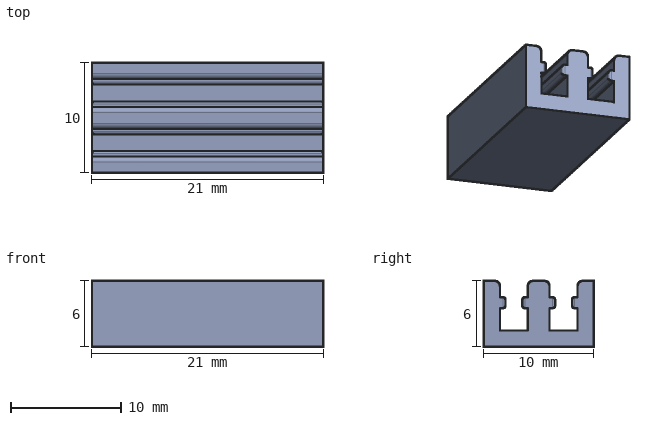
import cadquery as cq

length = 21.0
width = 10.0
height = 6.0

side_wall = 1.5
middle_wall = 2.0
channel_width = (width - 2 * side_wall - middle_wall) / 2
floor_thickness = 1.5
wall_top_radius = 0.5

ridge_height = 1.0
ridge_drop = 1.5
ridge_reach = 0.5
ridge_radius = 0.25
ridge_root = 0.2

channel_offset = (middle_wall + channel_width) / 2


def x_bar(y_min, y_max, z_min, z_max):
    """Box spanning the full length between the given limits."""
    return cq.Workplane("XY").box(
        length, y_max - y_min, z_max - z_min, centered=(True, False, False)
    ).translate((0, y_min, z_min))


def ridge(wall_y, direction):
    """Ridge growing from a wall face, rounded around all edges of its tip face."""
    root_y = wall_y - direction * ridge_root
    tip_y = wall_y + direction * ridge_reach
    top_z = height - ridge_drop
    bar = x_bar(min(root_y, tip_y), max(root_y, tip_y), top_z - ridge_height, top_z)
    tip_face = ">Y" if direction > 0 else "<Y"
    return bar.faces(tip_face).edges().fillet(ridge_radius)


body = x_bar(-width / 2, width / 2, 0, height)

for center_y in (-channel_offset, channel_offset):
    body = body.cut(
        x_bar(center_y - channel_width / 2, center_y + channel_width / 2, floor_thickness, height)
    )

for center_y in (-channel_offset, channel_offset):
    for side in (-1, 1):
        edge_point = (0, center_y + side * channel_width / 2, height)
        body = body.edges(cq.selectors.NearestToPointSelector(edge_point)).fillet(wall_top_radius)

for center_y in (-channel_offset, channel_offset):
    for side in (-1, 1):
        body = body.union(ridge(center_y + side * channel_width / 2, -side))

result = body